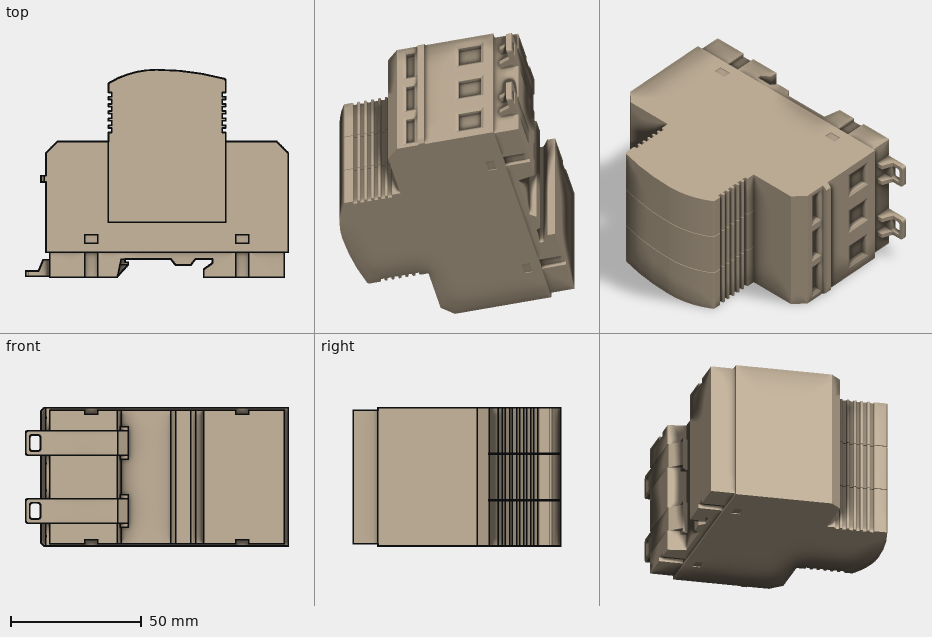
import cadquery as cq
import math


POLES = 3
WIDTH = 53.0

HOUSING_LENGTH = 92.8
HOUSING_TOP = 52.0
HOUSING_CHAMFER = 4.5
CENTER_X = HOUSING_LENGTH / 2

FOOT_HEIGHT = 9.5
FOOT_INSET_X = 1.5
FOOT_INSET_Z = 0.9
FOOT_WIDTH = WIDTH - 2 * FOOT_INSET_Z

CHANNEL_ROOF = 7.0
LATCH_WALL_X = 27.4
LATCH_WALL_LEAN = 1.45
RIDGE_START_X = 47.8
RIDGE_END_X = 57.3
RIDGE_DEPTH = 2.35
RIDGE_SLOPE_RUN = 1.85
HOOK_X = 60.4
HOOK_UNDERCUT = 3.3
HOOK_LOW = 3.1
HOOK_HIGH = 5.4

NOTCH_WIDTH = 5.0
NOTCH_SPACING = 57.75
NOTCH_CENTER_X = CENTER_X - 0.1
NOTCH_DEPTH = 1.6
RECESS_BOTTOM = 13.1
RECESS_HEIGHT = 3.1
RECESS_DEPTH = 0.3

WINDOW_PITCH = 17.5
WINDOW_TAPER_DEPTH = 0.6
WINDOW_TAPER_INSET = 1.05
WINDOW_FLOOR_DEPTH = 2.5
WIRE_WINDOW_Y = 18.85
WIRE_WINDOW_SIZE = 11.0
SCREW_WINDOW_Y = 42.3
SCREW_WINDOW_HEIGHT = 5.4
SCREW_WINDOW_WIDTH = 14.7

RAIL_BOTTOM = 36.4
RAIL_THICKNESS = 2.5
RAIL_PROJECTION = 1.9
RAIL_CHAMFER = 1.3

PLUG_LENGTH = 45.0
PLUG_GAP = 0.25
PLUG_WIDTH = (WIDTH - (POLES - 1) * PLUG_GAP) / POLES
PLUG_PITCH = PLUG_WIDTH + PLUG_GAP
PLUG_BOTTOM = 21.0
PLUG_TOP = 79.46
PLUG_LEFT = CENTER_X - PLUG_LENGTH / 2
PLUG_RIGHT = CENTER_X + PLUG_LENGTH / 2
CROWN_PEAK_X = 42.3
CROWN_LEFT_RADIUS = 35.0
CROWN_RIGHT_RADIUS = 100.0
CROWN_CORNER_RADIUS = 1.0
GRIP_GROOVES = 6
GRIP_PITCH = 2.72
GRIP_BOTTOM = 55.5
GROOVE_HEIGHT = 1.6
GROOVE_DEPTH = 1.3
GRIP_EDGE_RADIUS = 0.4

LATCH_OFFSETS_Z = (-13.0, 13.0)
LATCH_WIDTH = 9.5
LATCH_BOTTOM = 0.35
LATCH_TAB_TOP = 2.5
LATCH_TIP_X = -7.7
LATCH_CORNER_RADIUS = 1.0
FLANGE_TOP = 6.75
FLANGE_THICKNESS = 1.8
FLANGE_FOOT_X = -2.8
FLANGE_HEAD_X = -1.0
EYE_X = -4.1
EYE_LENGTH = 4.0
EYE_WIDTH = 6.1
EYE_CORNER_RADIUS = 0.9
NOSE_X = 31.6
NOSE_LOW = 4.9
NOSE_HIGH = 5.8
NECK_X = 30.4
NOSE_WING_WIDTH = 12.5


def block(x0, x1, y0, y1, z0, z1):
    """Rectangular block between opposite corners."""
    return cq.Workplane("XY").box(x1 - x0, y1 - y0, z1 - z0, centered=False).translate((x0, y0, z0))


def extrude_across(sketch, width, center_z=0.0):
    """Extrude a closed XY outline to a width centred on center_z."""
    return sketch.extrude(width / 2, both=True).translate((0, 0, center_z))


def latch_wall_x(y):
    """X of the leaning latch-side channel wall at height y."""
    return LATCH_WALL_X + LATCH_WALL_LEAN * y / CHANNEL_ROOF



def crown_y(x, radius):
    """Height of a crown arc of the given radius, level at the peak."""
    return PLUG_TOP - radius + math.sqrt(radius**2 - (x - CROWN_PEAK_X) ** 2)


def make_plug(center_z):
    left_mid_x = (PLUG_LEFT + CROWN_PEAK_X) / 2
    right_mid_x = (PLUG_RIGHT + CROWN_PEAK_X) / 2
    outline = (
        cq.Workplane("XY")
        .moveTo(PLUG_LEFT, PLUG_BOTTOM)
        .lineTo(PLUG_LEFT, crown_y(PLUG_LEFT, CROWN_LEFT_RADIUS))
        .threePointArc((left_mid_x, crown_y(left_mid_x, CROWN_LEFT_RADIUS)), (CROWN_PEAK_X, PLUG_TOP))
        .threePointArc(
            (right_mid_x, crown_y(right_mid_x, CROWN_RIGHT_RADIUS)),
            (PLUG_RIGHT, crown_y(PLUG_RIGHT, CROWN_RIGHT_RADIUS)),
        )
        .lineTo(PLUG_RIGHT, PLUG_BOTTOM)
        .close()
    )
    plug = extrude_across(outline, PLUG_WIDTH)
    grip_top = GRIP_BOTTOM + (GRIP_GROOVES - 1) * GRIP_PITCH + GROOVE_HEIGHT
    half_width = PLUG_WIDTH / 2
    margin = GROOVE_DEPTH / 2
    for side_x in (PLUG_LEFT, PLUG_RIGHT):
        crown_corner = cq.selectors.BoxSelector(
            (side_x - margin, grip_top + margin, -half_width), (side_x + margin, PLUG_TOP, half_width)
        )
        plug = plug.edges("|Z").edges(crown_corner).fillet(CROWN_CORNER_RADIUS)
    for side_x in (PLUG_LEFT, PLUG_RIGHT):
        for index in range(GRIP_GROOVES):
            bottom = GRIP_BOTTOM + index * GRIP_PITCH
            plug = plug.cut(
                block(
                    side_x - GROOVE_DEPTH, side_x + GROOVE_DEPTH,
                    bottom, bottom + GROOVE_HEIGHT,
                    -half_width, half_width,
                )
            )
        groove_mouths = cq.selectors.BoxSelector(
            (side_x - margin, GRIP_BOTTOM - margin, -half_width),
            (side_x + margin, grip_top + margin, half_width),
        )
        plug = plug.edges("|Z").edges(groove_mouths).fillet(GRIP_EDGE_RADIUS)
    return plug.translate((0, 0, center_z))



def make_latch_blank():
    """Latch without its eye, centred on Z = 0; it also cuts the latch slot in the foot."""
    base = extrude_across(
        cq.Workplane("XY").polyline(
            [
                (LATCH_TIP_X, LATCH_BOTTOM),
                (latch_wall_x(LATCH_BOTTOM), LATCH_BOTTOM),
                (NOSE_X, NOSE_LOW),
                (NOSE_X, NOSE_HIGH),
                (NECK_X, NOSE_HIGH),
                (NECK_X, CHANNEL_ROOF),
                (latch_wall_x(CHANNEL_ROOF), CHANNEL_ROOF),
                (latch_wall_x(LATCH_TAB_TOP), LATCH_TAB_TOP),
                (LATCH_TIP_X, LATCH_TAB_TOP),
            ]
        ).close(),
        LATCH_WIDTH,
    )
    base = base.edges("|Y and <X").fillet(LATCH_CORNER_RADIUS)
    flange_outline = [
        (FLANGE_FOOT_X, LATCH_TAB_TOP),
        (latch_wall_x(LATCH_TAB_TOP), LATCH_TAB_TOP),
        (latch_wall_x(FLANGE_TOP), FLANGE_TOP),
        (FLANGE_HEAD_X, FLANGE_TOP),
    ]
    for side in (-1, 1):
        flange_z = side * (LATCH_WIDTH - FLANGE_THICKNESS) / 2
        base = base.union(
            extrude_across(cq.Workplane("XY").polyline(flange_outline).close(), FLANGE_THICKNESS, flange_z)
        )
    wings = extrude_across(
        cq.Workplane("XY").polyline(
            [
                (latch_wall_x(NOSE_LOW), NOSE_LOW),
                (NOSE_X, NOSE_LOW),
                (NOSE_X, NOSE_HIGH),
                (NECK_X, NOSE_HIGH),
                (NECK_X, CHANNEL_ROOF),
                (latch_wall_x(CHANNEL_ROOF), CHANNEL_ROOF),
            ]
        ).close(),
        NOSE_WING_WIDTH,
    )
    return base.union(wings)


def make_latch(center_z):
    eye = (
        block(
            EYE_X - EYE_LENGTH / 2, EYE_X + EYE_LENGTH / 2,
            LATCH_BOTTOM, LATCH_TAB_TOP,
            -EYE_WIDTH / 2, EYE_WIDTH / 2,
        )
        .edges("|Y")
        .fillet(EYE_CORNER_RADIUS)
    )
    return make_latch_blank().cut(eye).translate((0, 0, center_z))


def make_latch_slot(center_z):
    """Latch shape in the foot, opened down to the bottom of the foot."""
    opening = extrude_across(
        cq.Workplane("XY").polyline(
            [
                (FOOT_INSET_X, 0),
                (LATCH_WALL_X, 0),
                (latch_wall_x(LATCH_BOTTOM), LATCH_BOTTOM),
                (FOOT_INSET_X, LATCH_BOTTOM),
            ]
        ).close(),
        LATCH_WIDTH,
        center_z,
    )
    return make_latch_blank().translate((0, 0, center_z)).union(opening)



def make_shell():
    shell = (
        block(0, HOUSING_LENGTH, FOOT_HEIGHT, HOUSING_TOP, -WIDTH / 2, WIDTH / 2)
        .edges("|Z and >Y")
        .chamfer(HOUSING_CHAMFER)
    )
    plug_bay = block(PLUG_LEFT, PLUG_RIGHT, PLUG_BOTTOM, HOUSING_TOP, -WIDTH / 2, WIDTH / 2)
    return shell.cut(plug_bay)


def make_foot():
    foot_right = HOUSING_LENGTH - FOOT_INSET_X
    ridge_y = CHANNEL_ROOF - RIDGE_DEPTH
    outline = cq.Workplane("XY").polyline(
        [
            (FOOT_INSET_X, FOOT_HEIGHT),
            (FOOT_INSET_X, 0),
            (LATCH_WALL_X, 0),
            (latch_wall_x(CHANNEL_ROOF), CHANNEL_ROOF),
            (RIDGE_START_X, CHANNEL_ROOF),
            (RIDGE_START_X + RIDGE_SLOPE_RUN, ridge_y),
            (RIDGE_END_X - RIDGE_SLOPE_RUN, ridge_y),
            (RIDGE_END_X, CHANNEL_ROOF),
            (HOOK_X + HOOK_UNDERCUT, CHANNEL_ROOF),
            (HOOK_X + HOOK_UNDERCUT, HOOK_HIGH),
            (HOOK_X, HOOK_LOW),
            (HOOK_X, 0),
            (foot_right, 0),
            (foot_right, FOOT_HEIGHT),
        ]
    ).close()
    return extrude_across(outline, FOOT_WIDTH)


def make_end_rail():
    return (
        block(
            -RAIL_PROJECTION, 0,
            RAIL_BOTTOM, RAIL_BOTTOM + RAIL_THICKNESS,
            -WIDTH / 2, WIDTH / 2,
        )
        .edges("|Y and <X")
        .chamfer(RAIL_CHAMFER)
    )


def make_window(center_y, center_z, height, width):
    """Tapered mouth followed by a straight pocket, cut into the end face at X = 0."""
    inner_height = height - 2 * WINDOW_TAPER_INSET
    inner_width = width - 2 * WINDOW_TAPER_INSET
    mouth = (
        cq.Workplane("YZ", origin=(0, center_y, center_z))
        .rect(height, width)
        .workplane(offset=WINDOW_TAPER_DEPTH)
        .rect(inner_height, inner_width)
        .loft(ruled=True)
    )
    pocket = (
        cq.Workplane("YZ", origin=(WINDOW_TAPER_DEPTH, center_y, center_z))
        .rect(inner_height, inner_width)
        .extrude(WINDOW_FLOOR_DEPTH - WINDOW_TAPER_DEPTH)
    )
    return mouth.union(pocket)


def cut_locking_features(body):
    for end in (-1, 1):
        center_x = NOTCH_CENTER_X + end * NOTCH_SPACING / 2
        left = center_x - NOTCH_WIDTH / 2
        right = center_x + NOTCH_WIDTH / 2
        for side in (-1, 1):
            notch_z = sorted((side * FOOT_WIDTH / 2, side * (FOOT_WIDTH / 2 - NOTCH_DEPTH)))
            recess_z = sorted((side * WIDTH / 2, side * (WIDTH / 2 - RECESS_DEPTH)))
            body = body.cut(block(left, right, 0, FOOT_HEIGHT, *notch_z))
            body = body.cut(block(left, right, RECESS_BOTTOM, RECESS_BOTTOM + RECESS_HEIGHT, *recess_z))
    return body


def make_housing():
    housing = make_shell().union(make_foot()).union(make_end_rail())
    housing = cut_locking_features(housing)
    for index in range(POLES):
        center_z = (index - (POLES - 1) / 2) * WINDOW_PITCH
        housing = housing.cut(make_window(WIRE_WINDOW_Y, center_z, WIRE_WINDOW_SIZE, WIRE_WINDOW_SIZE))
        housing = housing.cut(make_window(SCREW_WINDOW_Y, center_z, SCREW_WINDOW_HEIGHT, SCREW_WINDOW_WIDTH))
    for center_z in LATCH_OFFSETS_Z:
        housing = housing.cut(make_latch_slot(center_z))
    return housing



housing = make_housing()
plugs = [make_plug((index - (POLES - 1) / 2) * PLUG_PITCH) for index in range(POLES)]
latches = [make_latch(center_z) for center_z in LATCH_OFFSETS_Z]

result = cq.Compound.makeCompound(
    [
        housing.val(),
        *[plug.val() for plug in plugs],
        *[latch.val() for latch in latches],
    ]
)